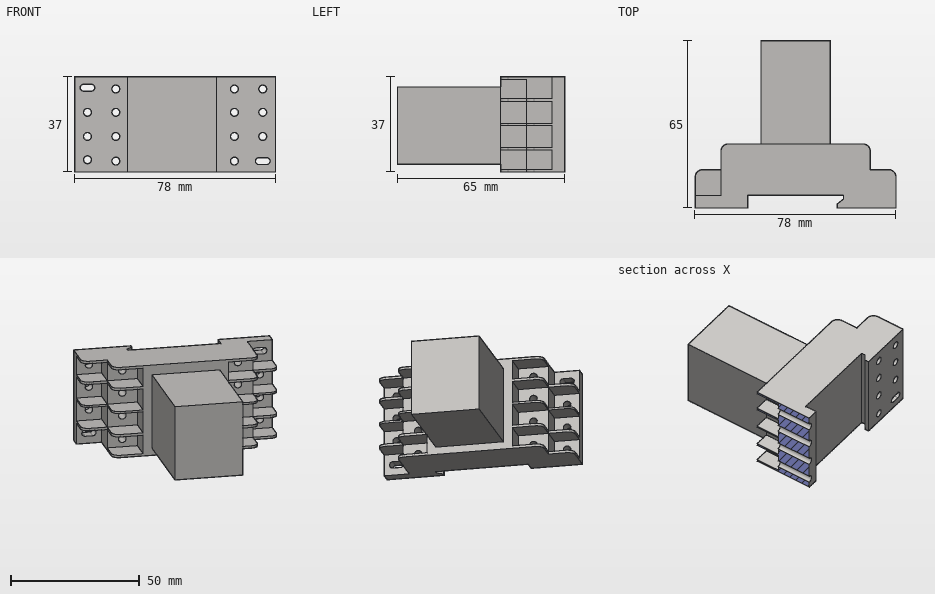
import cadquery as cq

length = 78.0
height = 37.0
step = 10.0
base_depth = 5.0
lower_depth = base_depth + step
upper_depth = lower_depth + step
corner_radius = 3.0

rail_start = 20.5
rail_end = length - rail_start
lip_end = 55.15
lip_land = 1.6
lip_slope_top = 3.5

fin = 1.0
middle_fin = 0.8
outer_pocket_height = 7.5
inner_pocket_height = (height - 4 * fin - middle_fin - 2 * outer_pocket_height) / 2
upper_pocket_length = 12.0

hole_diameter = 3.0
outer_column = step / 2
inner_column = step + upper_pocket_length / 2
slot_length = 5.6
slot_width = 2.6
slot_inset = (fin + outer_pocket_height) / 2

relay_width = 27.0
relay_height = 30.0
relay_start = (length - relay_width) / 2
relay_bottom = 3.0
relay_end = 65.0

pocket_heights = [outer_pocket_height, inner_pocket_height, inner_pocket_height, outer_pocket_height]
pocket_bottoms = [
    fin,
    2 * fin + outer_pocket_height,
    height / 2 + middle_fin / 2,
    height - fin - outer_pocket_height,
]
pocket_rows = [bottom + size / 2 for bottom, size in zip(pocket_bottoms, pocket_heights)]


def box(x0, x1, y0, y1, z0, z1):
    """Block between the given limits on each axis."""
    return cq.Workplane("XY").box(x1 - x0, y1 - y0, z1 - z0, centered=False).translate((x0, y0, z0))


def half_turn(shape):
    """Rotate half a turn about the socket's central axis along Y."""
    axis_start = (length / 2, 0, height / 2)
    axis_end = (length / 2, upper_depth, height / 2)
    return shape.rotate(axis_start, axis_end, 180)


def socket_block():
    """Stepped outline with the rail recess and hook, before pockets and holes are cut."""
    block = (
        cq.Workplane("XY")
        .moveTo(0, 0)
        .lineTo(rail_start, 0)
        .lineTo(rail_start, base_depth)
        .lineTo(rail_end, base_depth)
        .lineTo(rail_end, lip_slope_top)
        .lineTo(lip_end, lip_land)
        .lineTo(lip_end, 0)
        .lineTo(length, 0)
        .lineTo(length, lower_depth)
        .lineTo(length - step, lower_depth)
        .lineTo(length - step, upper_depth)
        .lineTo(step, upper_depth)
        .lineTo(step, lower_depth)
        .lineTo(0, lower_depth)
        .close()
        .extrude(height)
    )
    for x, y in [(0, lower_depth), (length, lower_depth), (step, upper_depth), (length - step, upper_depth)]:
        corner = cq.selectors.NearestToPointSelector((x, y, height / 2))
        block = block.edges("|Z").edges(corner).fillet(corner_radius)
    return block


def side_pockets():
    """Terminal pockets on the -X side; the top pocket of the lower step has no fin above it."""
    pockets = cq.Workplane("XY")
    for bottom, size in zip(pocket_bottoms, pocket_heights):
        top = bottom + size
        lower_top = height if bottom == pocket_bottoms[-1] else top
        pockets = pockets.add(box(step, step + upper_pocket_length, lower_depth, upper_depth, bottom, top))
        pockets = pockets.add(box(0, step, base_depth, lower_depth, bottom, lower_top))
    return pockets.combine()


def wiring_holes():
    """Round through holes in two columns on each side; the bottom inner holes line up with the low slot."""
    inner_rows = [slot_inset, *pocket_rows[1:]]
    points = [(outer_column, z) for z in pocket_rows[:-1]]
    points += [(length - outer_column, z) for z in pocket_rows[1:]]
    points += [(x, z) for x in (inner_column, length - inner_column) for z in inner_rows]
    return cq.Workplane("XZ").pushPoints(points).circle(hole_diameter / 2).extrude(-upper_depth)


def mounting_slots():
    """Slots in opposite corners, each centred on a pocket with an open end."""
    points = [(outer_column, height - slot_inset), (length - outer_column, slot_inset)]
    return cq.Workplane("XZ").pushPoints(points).slot2D(slot_length, slot_width).extrude(-upper_depth)


def make_socket():
    """Socket body, with the same pockets on both sides by half-turn symmetry."""
    pockets = side_pockets()
    block = socket_block().cut(pockets).cut(half_turn(pockets))
    return block.cut(wiring_holes()).cut(mounting_slots())


def make_relay():
    """Plain case standing on the socket's upper face."""
    relay_side = relay_start + relay_width
    relay_top = relay_bottom + relay_height
    return box(relay_start, relay_side, upper_depth, relay_end, relay_bottom, relay_top)


socket = make_socket()
relay = make_relay()
result = cq.Compound.makeCompound([socket.val(), relay.val()])